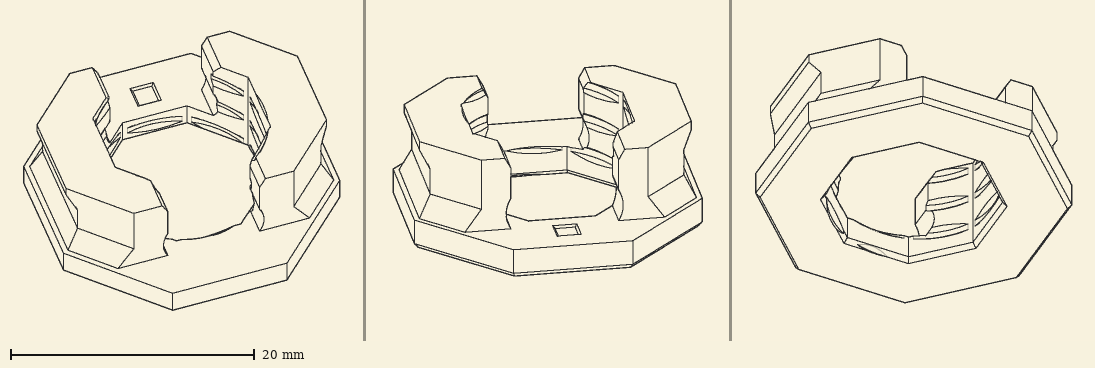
import cadquery as cq
import math

PLATE_WIDTH = 24.0
TOTAL_HEIGHT = 9.0

PLATE_HEIGHT = 2.57
CHAMFER_INSET = 0.34
CHAMFER_HEIGHT = 0.43
BORE_WIDTH = 13.5

TOWER_LENGTH = 16.0
NECK_WIDTH = 21.15
FOOT_WIDTH = 23.1
FOOT_HEIGHT = 1.97
LIP_WIDTH = 22.63
LIP_EDGE_HEIGHT = 0.8
LIP_HEIGHT = 2.2

GAP_HALF_WIDTH = 3.98
LEFT_GAP_STEP = 0.5
GAP_CHAMFER_INSET = 0.5
GAP_CHAMFER_HEIGHT = 0.9
GAP_HOLLOW_HEIGHT = 2.74
GAP_HOLLOW_DEPTH = 0.38

THREAD_PITCH = 3.0
THREAD_ROOT_RADIUS = 7.15
THREAD_INNER_RADIUS = 6.48
THREAD_ROOT_HEIGHT = 0.62
THREAD_FLANK_ANGLE = 38.0
THREAD_START_Z = -3.25

POCKET_X = -9.02
POCKET_WIDTH = 2.02
POCKET_FLOOR_WIDTH = 1.65
POCKET_DEPTH = 0.2


def octagon(width, z):
    """Regular octagon on a horizontal plane, given its width across flats, with flats facing X and Y."""
    corner_diameter = width / math.cos(math.pi / 8)
    return (
        cq.Workplane("XY", origin=(0, 0, z))
        .transformed(rotate=(0, 0, 22.5))
        .polygon(8, corner_diameter)
    )


def octagon_frustum(bottom_width, top_width, z, height):
    bottom = octagon(bottom_width, z).wires().val()
    top = octagon(top_width, z + height).wires().val()
    return cq.Workplane(cq.Solid.makeLoft([bottom, top], True))


def make_plate():
    chamfered_width = PLATE_WIDTH - 2 * CHAMFER_INSET
    edge = octagon_frustum(chamfered_width, PLATE_WIDTH, 0, CHAMFER_HEIGHT)
    slab = octagon(PLATE_WIDTH, CHAMFER_HEIGHT).extrude(PLATE_HEIGHT - CHAMFER_HEIGHT)
    return edge.union(slab)


def make_lips():
    """Lips along the top of both outer Y faces, ending on the diagonal planes of the neck."""
    half_neck = NECK_WIDTH / 2
    half_lip = LIP_WIDTH / 2
    section = [
        (-half_neck, TOTAL_HEIGHT - LIP_HEIGHT),
        (half_neck, TOTAL_HEIGHT - LIP_HEIGHT),
        (half_lip, TOTAL_HEIGHT - LIP_EDGE_HEIGHT),
        (half_lip, TOTAL_HEIGHT),
        (-half_lip, TOTAL_HEIGHT),
        (-half_lip, TOTAL_HEIGHT - LIP_EDGE_HEIGHT),
    ]
    bar = cq.Workplane("YZ").polyline(section).close().extrude(TOWER_LENGTH / 2, both=True)
    diagonal_square = (
        cq.Workplane("XY").transformed(rotate=(0, 0, 45)).rect(NECK_WIDTH, NECK_WIDTH).extrude(TOTAL_HEIGHT)
    )
    return bar.intersect(diagonal_square)


def make_gap_side(half_width, x_direction):
    """Space between the towers on one side of the YZ plane."""
    top_half_width = half_width + GAP_CHAMFER_INSET
    chamfer_z = TOTAL_HEIGHT - GAP_CHAMFER_HEIGHT
    hollow_top = PLATE_HEIGHT + GAP_HOLLOW_HEIGHT
    hollow_middle = PLATE_HEIGHT + GAP_HOLLOW_HEIGHT / 2
    hollow_half_width = half_width + GAP_HOLLOW_DEPTH
    return (
        cq.Workplane("YZ")
        .moveTo(-half_width, PLATE_HEIGHT)
        .lineTo(half_width, PLATE_HEIGHT)
        .threePointArc((hollow_half_width, hollow_middle), (half_width, hollow_top))
        .lineTo(half_width, chamfer_z)
        .lineTo(top_half_width, TOTAL_HEIGHT)
        .lineTo(-top_half_width, TOTAL_HEIGHT)
        .lineTo(-half_width, chamfer_z)
        .lineTo(-half_width, hollow_top)
        .threePointArc((-hollow_half_width, hollow_middle), (-half_width, PLATE_HEIGHT))
        .close()
        .extrude(x_direction * TOWER_LENGTH)
    )


def make_towers():
    neck = octagon(NECK_WIDTH, PLATE_HEIGHT).extrude(TOTAL_HEIGHT - PLATE_HEIGHT)
    foot = octagon_frustum(FOOT_WIDTH, NECK_WIDTH, PLATE_HEIGHT, FOOT_HEIGHT)
    side_limits = cq.Workplane("XY").rect(TOWER_LENGTH, PLATE_WIDTH).extrude(TOTAL_HEIGHT)
    block = neck.union(foot).intersect(side_limits).union(make_lips())
    right_gap = make_gap_side(GAP_HALF_WIDTH, 1)
    left_gap = make_gap_side(GAP_HALF_WIDTH + LEFT_GAP_STEP, -1)
    return block.cut(right_gap).cut(left_gap)


def make_bore():
    """Octagonal through hole, chamfered at its lower edge like the plate."""
    hole = octagon(BORE_WIDTH, 0).extrude(TOTAL_HEIGHT)
    chamfer = octagon_frustum(BORE_WIDTH + 2 * CHAMFER_INSET, BORE_WIDTH, 0, CHAMFER_HEIGHT)
    return hole.union(chamfer)


def make_thread():
    """Right-handed helical cutter with a trapezoidal section."""
    length = TOTAL_HEIGHT - THREAD_START_Z + THREAD_PITCH
    half_root = THREAD_ROOT_HEIGHT / 2
    flank_run = THREAD_ROOT_RADIUS - THREAD_INNER_RADIUS
    half_mouth = half_root + flank_run * math.tan(math.radians(THREAD_FLANK_ANGLE))
    section = [
        (THREAD_INNER_RADIUS, -half_mouth),
        (THREAD_ROOT_RADIUS, -half_root),
        (THREAD_ROOT_RADIUS, half_root),
        (THREAD_INNER_RADIUS, half_mouth),
    ]
    helix = cq.Wire.makeHelix(THREAD_PITCH, length, THREAD_ROOT_RADIUS)
    thread = cq.Workplane("XZ").polyline(section).close().sweep(cq.Workplane(helix), isFrenet=True)
    return thread.translate((0, 0, THREAD_START_Z))


def make_pocket():
    taper = math.degrees(math.atan2((POCKET_WIDTH - POCKET_FLOOR_WIDTH) / 2, POCKET_DEPTH))
    return (
        cq.Workplane("XY", origin=(POCKET_X, 0, PLATE_HEIGHT))
        .rect(POCKET_WIDTH, POCKET_WIDTH)
        .extrude(-POCKET_DEPTH, taper=taper)
    )


body = make_plate().union(make_towers()).cut(make_bore())
result = body.cut(make_thread()).cut(make_pocket())